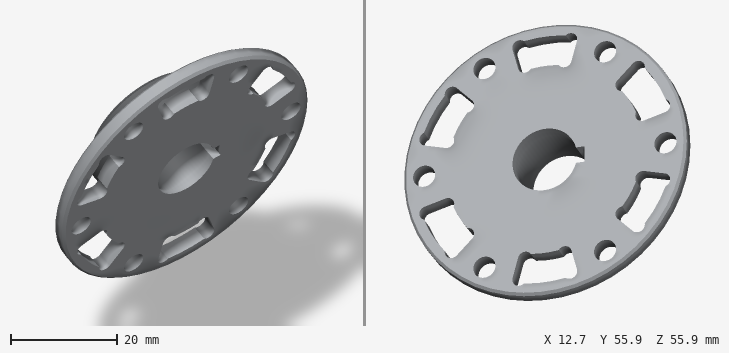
import cadquery as cq
import math

total_length = 12.7
flange_thickness = 3.2
flange_radius = 27.95
flange_chamfer = 0.5

hub_radius = 14.25
hub_chamfer = 1.0
hub_root_fillet = 1.0

bore_radius = 6.35
keyway_width = 3.2
keyway_reach = 7.8

pattern_count = 6
hole_diameter = 4.35
hole_circle_radius = 23.85
window_inner_radius = 19.45
window_outer_radius = 25.55
window_half_angle = 15.0
relief_radius = 1.4
relief_inner_circle = 20.4
relief_outer_circle = 24.65


def polar(radius, angle):
    """Point in the YZ plane, with the angle in degrees from +Y."""
    radians = math.radians(angle)
    return radius * math.cos(radians), radius * math.sin(radians)


def axial_cylinder(radius, length):
    """Cylinder running from the back of the flange toward -X."""
    return cq.Workplane("YZ").circle(radius).extrude(-length)


def make_body():
    """Chamfered flange with a hub blended into its front face."""
    flange = axial_cylinder(flange_radius, flange_thickness).edges().chamfer(flange_chamfer)
    hub = axial_cylinder(hub_radius, total_length).faces("<X").edges().chamfer(hub_chamfer)
    root = cq.selectors.BoxSelector(
        (-flange_thickness - hub_root_fillet / 2, -hub_radius, -hub_radius),
        (-flange_thickness + hub_root_fillet / 2, hub_radius, hub_radius),
    )
    return flange.union(hub).edges(root).edges(cq.selectors.RadiusNthSelector(0)).fillet(hub_root_fillet)


def make_bore():
    """Round bore with a keyway on the +Y side."""
    keyway = (
        cq.Workplane("YZ")
        .center(keyway_reach / 2, 0)
        .rect(keyway_reach, keyway_width)
        .extrude(-total_length)
    )
    return axial_cylinder(bore_radius, total_length).union(keyway)


def make_window(center_angle):
    """Ring-sector opening with a round relief in each corner, tangent to its radial sides."""
    start = center_angle - window_half_angle
    end = center_angle + window_half_angle
    corners = []
    for circle_radius in (relief_inner_circle, relief_outer_circle):
        inset = math.degrees(math.asin(relief_radius / circle_radius))
        corners.append((circle_radius, inset))
    (inner_circle, inner_inset), (outer_circle, outer_inset) = corners

    def side_point(circle_radius, angle):
        """Point where a relief touches the radial side."""
        return polar(math.sqrt(circle_radius**2 - relief_radius**2), angle)

    window = (
        cq.Workplane("YZ")
        .moveTo(*side_point(inner_circle, start))
        .lineTo(*side_point(outer_circle, start))
        .lineTo(*polar(outer_circle, start + outer_inset))
        .lineTo(*polar(window_outer_radius, start + outer_inset))
        .threePointArc(
            polar(window_outer_radius, center_angle),
            polar(window_outer_radius, end - outer_inset),
        )
        .lineTo(*polar(outer_circle, end - outer_inset))
        .lineTo(*side_point(outer_circle, end))
        .lineTo(*side_point(inner_circle, end))
        .lineTo(*polar(inner_circle, end - inner_inset))
        .lineTo(*polar(window_inner_radius, end - inner_inset))
        .threePointArc(
            polar(window_inner_radius, center_angle),
            polar(window_inner_radius, start + inner_inset),
        )
        .lineTo(*polar(inner_circle, start + inner_inset))
        .close()
        .extrude(-flange_thickness)
    )
    for circle_radius, inset in corners:
        for angle in (start + inset, end - inset):
            relief = axial_cylinder(relief_radius, flange_thickness)
            window = window.union(relief.translate((0, *polar(circle_radius, angle))))
    return window


def make_hole(angle):
    """Through hole in the flange."""
    hole = axial_cylinder(hole_diameter / 2, flange_thickness)
    return hole.translate((0, *polar(hole_circle_radius, angle)))


result = make_body().cut(make_bore())
pitch_angle = 360 / pattern_count
for index in range(pattern_count):
    hole_angle = index * pitch_angle
    result = result.cut(make_hole(hole_angle))
    result = result.cut(make_window(hole_angle + pitch_angle / 2))

result = result.translate((total_length / 2, 0, 0))